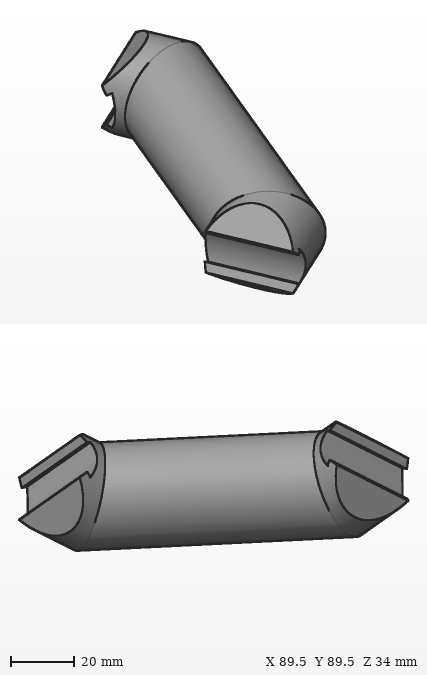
import cadquery as cq

overall = 89.5
radius = 17.0
leg_length = 15.75
bevel_depth = 8.7
lip_depth = 2.1
lip_half_height = 5.8
shoulder_depth = 3.8
shoulder_half_height = 6.9
groove_depth = 5.4

axis_offset = overall - radius
tip_half_height = radius - bevel_depth


def bent_bar():
    """Solid round bar: two short legs joined to a diagonal by mitred corners."""
    path = cq.Workplane("XY").polyline([
        (0, axis_offset),
        (leg_length, axis_offset),
        (axis_offset, leg_length),
        (axis_offset, 0),
    ])
    return (
        cq.Workplane("YZ", origin=(0, axis_offset, 0))
        .circle(radius)
        .sweep(path, transition="right")
    )


def end_cutter(plane):
    """Waste at a leg's end: two bevels and the lipped groove between them.

    The plane's local x runs into the leg and its local y runs along Z.
    """
    profile = (
        cq.Workplane(plane)
        .moveTo(-bevel_depth, radius)
        .lineTo(bevel_depth, radius)
        .lineTo(0, tip_half_height)
        .lineTo(lip_depth, lip_half_height)
        .lineTo(shoulder_depth, shoulder_half_height)
        .threePointArc((groove_depth, 0), (shoulder_depth, -shoulder_half_height))
        .lineTo(lip_depth, -lip_half_height)
        .lineTo(0, -tip_half_height)
        .lineTo(bevel_depth, -radius)
        .lineTo(-bevel_depth, -radius)
        .close()
    )
    return profile.extrude(radius, both=True)


x_leg_plane = cq.Plane(origin=(0, axis_offset, 0), xDir=(1, 0, 0), normal=(0, -1, 0))
y_leg_plane = cq.Plane(origin=(axis_offset, 0, 0), xDir=(0, 1, 0), normal=(1, 0, 0))

result = bent_bar()
for leg_plane in (x_leg_plane, y_leg_plane):
    result = result.cut(end_cutter(leg_plane))